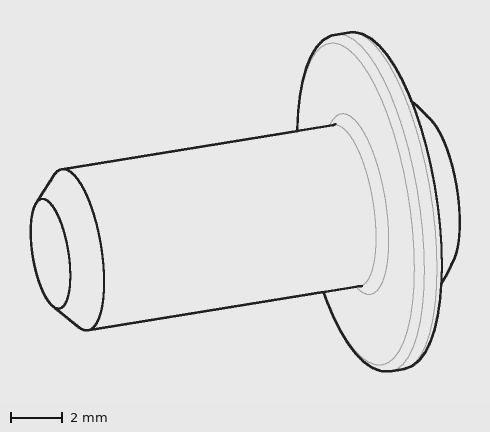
import cadquery as cq
import math

total_length = 15.85
shank_length = 12.7
shank_radius = 3.17
tip_chamfer = 1.01
neck_fillet = 0.38
flange_radius = 6.63
flange_thickness = 1.13
flange_edge_fillet = 0.3
dome_base_radius = 4.87
dome_top_radius = 3.05
dome_bulge = 0.15

head_top = total_length - shank_length


def make_shank():
    """Round shank with a conical tip."""
    shank = cq.Workplane("XZ").circle(shank_radius).extrude(shank_length)
    return shank.faces("<Y").chamfer(tip_chamfer)


def make_flange():
    """Washer-like flange with both rim edges rounded."""
    flange = cq.Workplane("XZ").circle(flange_radius).extrude(-flange_thickness)
    return flange.edges().fillet(flange_edge_fillet)


def make_dome():
    """Shallow domed head with a flat top, revolved about Y."""
    rise = head_top - flange_thickness
    run = dome_base_radius - dome_top_radius
    chord = math.hypot(rise, run)
    arc_middle = (
        (dome_base_radius + dome_top_radius) / 2 + dome_bulge * rise / chord,
        (flange_thickness + head_top) / 2 + dome_bulge * run / chord,
    )
    return (
        cq.Workplane("XY")
        .moveTo(0, flange_thickness)
        .lineTo(dome_base_radius, flange_thickness)
        .threePointArc(arc_middle, (dome_top_radius, head_top))
        .lineTo(0, head_top)
        .close()
        .revolve(360, (0, 0, 0), (0, 1, 0))
    )


def make_neck():
    """Concave fillet where the shank meets the flange, revolved about Y."""
    diagonal = neck_fillet * (1 - math.sqrt(0.5))
    return (
        cq.Workplane("XY")
        .lineTo(shank_radius + neck_fillet, 0)
        .threePointArc((shank_radius + diagonal, -diagonal), (shank_radius, -neck_fillet))
        .lineTo(0, -neck_fillet)
        .close()
        .revolve(360, (0, 0, 0), (0, 1, 0))
    )


result = make_shank().union(make_neck()).union(make_flange()).union(make_dome())